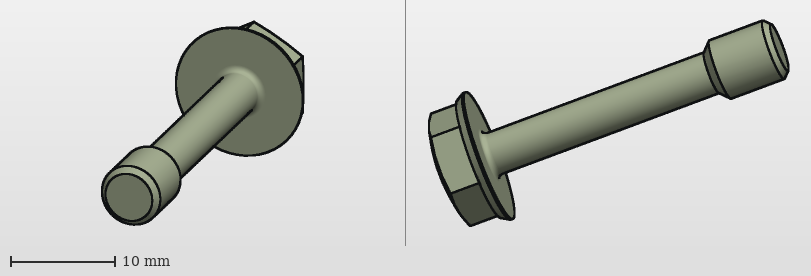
import cadquery as cq
import math


across_flats = 10.0
head_height = 5.0
dome_corner_drop = 1.0

flange_diameter = 13.0
flange_thickness = 1.0
flange_rim_height = 0.2
flange_cone_angle = 30.0

shank_diameter = 4.2
neck_fillet = 0.6

bolt_length = 30.0
tip_diameter = 6.0
tip_length = 7.0
tip_chamfer = 0.6

corner_radius = across_flats / math.sqrt(3)
dome_radius = (corner_radius**2 + dome_corner_drop**2) / (2 * dome_corner_drop)
flange_radius = flange_diameter / 2
flange_cone_height = flange_thickness - flange_rim_height
flange_top_radius = flange_radius - flange_cone_height * math.tan(math.radians(flange_cone_angle))
shank_radius = shank_diameter / 2
tip_radius = tip_diameter / 2
tip_taper_length = tip_radius - shank_radius
tip_start = tip_length - bolt_length


def neck_arc_midpoint():
    """Middle of the concave quarter arc between the flange and the shank."""
    inset = neck_fillet * (1 - math.sqrt(0.5))
    return (shank_radius + inset, -inset)


def make_turned_body():
    """Flange, shank and enlarged end as one half profile turned about Y."""
    profile = (
        cq.Workplane("XY")
        .moveTo(0, flange_thickness)
        .lineTo(flange_top_radius, flange_thickness)
        .lineTo(flange_radius, flange_rim_height)
        .lineTo(flange_radius, 0)
        .lineTo(shank_radius + neck_fillet, 0)
        .threePointArc(neck_arc_midpoint(), (shank_radius, -neck_fillet))
        .lineTo(shank_radius, tip_start)
        .lineTo(tip_radius, tip_start - tip_taper_length)
        .lineTo(tip_radius, tip_chamfer - bolt_length)
        .lineTo(tip_radius - tip_chamfer, -bolt_length)
        .lineTo(0, -bolt_length)
        .close()
    )
    return profile.revolve(360, (0, 0, 0), (0, 1, 0))


def make_head():
    """Hexagonal prism with corners at +Z and -Z, domed by a large sphere."""
    corners = []
    for side in range(6):
        angle = math.radians(90 + 60 * side)
        corners.append((corner_radius * math.cos(angle), corner_radius * math.sin(angle)))
    prism = cq.Workplane("XZ").polyline(corners).close().extrude(-head_height)
    dome = cq.Workplane("XY").sphere(dome_radius).translate((0, head_height - dome_radius, 0))
    return prism.intersect(dome)


result = make_turned_body().union(make_head())